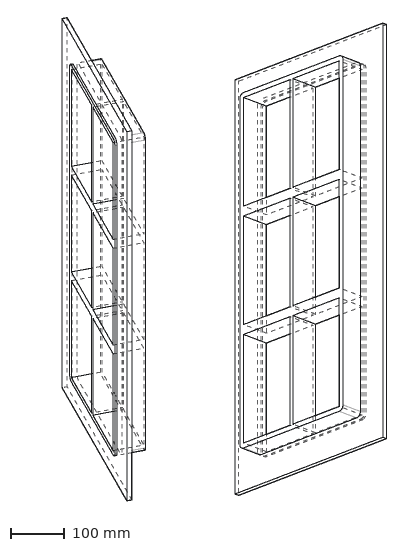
import cadquery as cq

flange_width = 391.0
flange_height = 834.0
flange_thickness = 10.0
flange_border = 59.0

frame_depth = 60.0
front_projection = 4.0
frame_wall = 10.0
corner_radius = 10.0
frame_width = flange_width - 2 * flange_border
frame_height = flange_height - 2 * flange_border

columns = 2
rows = 3
mullion_width = 7.5
transom_height = 20.0
opening_width = (frame_width - 2 * frame_wall - (columns - 1) * mullion_width) / columns
opening_height = (frame_height - 2 * frame_wall - (rows - 1) * transom_height) / rows


def upright_block(width, height, front_y, depth):
    """Block centred on X and Z, extending in +Y from front_y."""
    return cq.Workplane("XY").box(width, depth, height).translate((0, front_y + depth / 2, 0))


def make_frame():
    """Frame body with rounded corners, its front face at Y = 0."""
    body = upright_block(frame_width, frame_height, 0, frame_depth)
    return body.edges("|Y").fillet(corner_radius)


def make_openings():
    """Cutters for the openings, running the full depth of the frame."""
    return (
        cq.Workplane("XZ")
        .rarray(opening_width + mullion_width, opening_height + transom_height, columns, rows)
        .rect(opening_width, opening_height)
        .extrude(-frame_depth)
    )


flange = upright_block(flange_width, flange_height, front_projection, flange_thickness)
result = flange.union(make_frame()).cut(make_openings())